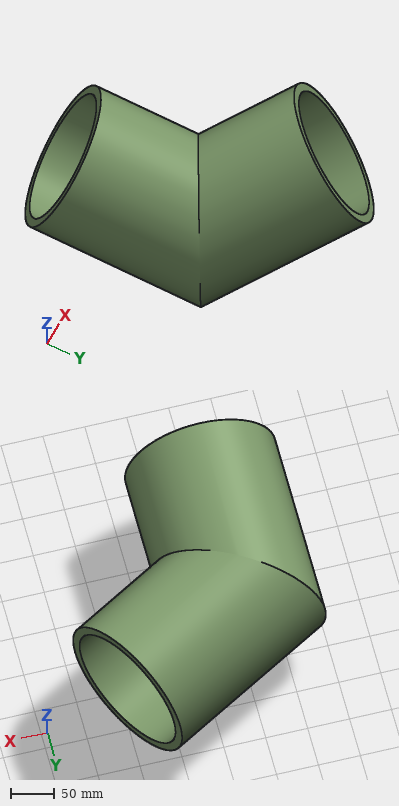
import cadquery as cq
import math

total_length = 349.0
outer_diameter = 180.0
wall = 10.8
bend_angle = math.radians(60)

outer_radius = outer_diameter / 2
inner_radius = outer_radius - wall

rim_rise = outer_radius * math.sin(bend_angle)
leg_length = (total_length - rim_rise) / (1 + math.cos(bend_angle))

mitre_reach = outer_radius * math.tan(bend_angle / 2)
bar_length = leg_length + mitre_reach
trim_size = 4 * bar_length

mitre_normal = cq.Vector(math.sin(bend_angle / 2), math.cos(bend_angle / 2), 0)
outlet_direction = cq.Vector(math.sin(bend_angle), math.cos(bend_angle), 0)
inlet_direction = cq.Vector(0, -1, 0)


def trimmed_leg(radius, direction, side_normal):
    """Bar from the open end to the mitre, kept on the side_normal side of it."""
    open_end = direction * leg_length
    end_plane = cq.Plane(origin=open_end.toTuple(), xDir=(0, 0, 1), normal=(direction * -1).toTuple())
    bar = cq.Workplane(end_plane).circle(radius).extrude(bar_length)
    mitre_plane = cq.Plane(origin=(0, 0, 0), xDir=(0, 0, 1), normal=side_normal.toTuple())
    kept_side = cq.Workplane(mitre_plane).rect(trim_size, trim_size).extrude(trim_size)
    return bar.intersect(kept_side)


def pipe_leg(direction, side_normal):
    """Hollow leg with one square open end and one mitred end."""
    outside = trimmed_leg(outer_radius, direction, side_normal)
    bore = trimmed_leg(inner_radius, direction, side_normal)
    return outside.cut(bore)


inlet_leg = pipe_leg(inlet_direction, mitre_normal * -1)
outlet_leg = pipe_leg(outlet_direction, mitre_normal)
result = inlet_leg.union(outlet_leg)